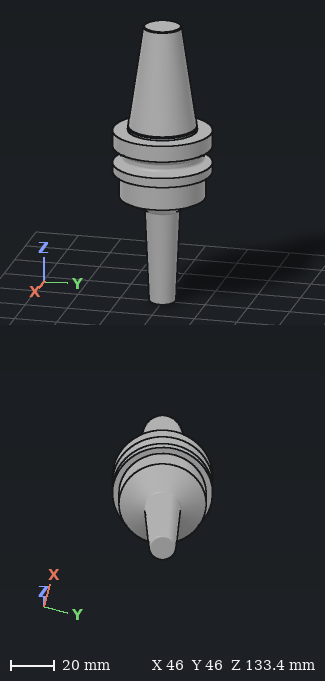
import cadquery as cq
import math


gauge_radius = 31.75 / 2
taper_length = 48.4
taper_ratio = 7 / 24
shank_end_chamfer = 0.4

neck_radius = 15.7
neck_bottom_z = -0.8
steep_flare_radius = 16.05
steep_flare_bottom_z = -1.65
middle_flare_radius = 16.7
middle_flare_bottom_z = -1.9
flare_foot_radius = 17.4

flange_radius = 46 / 2
flange_top_z = -2.0
flange_bottom_z = -22.0
groove_center_z = -13.6
groove_mouth_width = 7.9
groove_root_radius = 38 / 2
groove_flank_angle = 30
groove_fillet = 1.4

collar_radius = 40 / 2
collar_bottom_z = -34.0
cone_bottom_z = -40.0
cone_fillet = 1.0

nose_top_radius = 8.2
nose_end_radius = 6.2
nose_end_z = -85.0
nose_end_fillet = 1.0

shank_top_radius = gauge_radius - taper_length * taper_ratio / 2


def revolve_outline(points):
    """Revolve a closed (radius, height) outline about the Z axis."""
    outline = cq.Workplane("XZ").polyline(points).close()
    return outline.revolve(360, (0, 0, 0), (0, 1, 0))


def circle_edge(body, radius, z):
    """Select the circular edges with the given radius and height."""
    tolerance = 0.01
    reach = radius + tolerance
    inner = radius - tolerance
    low = z - tolerance
    high = z + tolerance
    outer_box = cq.selectors.BoxSelector((-reach, -reach, low), (reach, reach, high), boundingbox=True)
    inner_box = cq.selectors.BoxSelector((-inner, -inner, low), (inner, inner, high), boundingbox=True)
    return body.edges(outer_box - inner_box)


def make_shank():
    """Taper shank with its flared neck, standing on the flange face."""
    shank = revolve_outline([
        (0, flange_top_z),
        (flare_foot_radius, flange_top_z),
        (middle_flare_radius, middle_flare_bottom_z),
        (steep_flare_radius, steep_flare_bottom_z),
        (neck_radius, neck_bottom_z),
        (neck_radius, 0),
        (gauge_radius, 0),
        (shank_top_radius, taper_length),
        (0, taper_length),
    ])
    return shank.faces(">Z").edges().chamfer(shank_end_chamfer)


def make_flange():
    """Flange disc with the filleted V-groove."""
    half_mouth = groove_mouth_width / 2
    flank_rise = (flange_radius - groove_root_radius) * math.tan(math.radians(groove_flank_angle))
    half_root = half_mouth - flank_rise
    flange = revolve_outline([
        (0, flange_bottom_z),
        (flange_radius, flange_bottom_z),
        (flange_radius, groove_center_z - half_mouth),
        (groove_root_radius, groove_center_z - half_root),
        (groove_root_radius, groove_center_z + half_root),
        (flange_radius, groove_center_z + half_mouth),
        (flange_radius, flange_top_z),
        (0, flange_top_z),
    ])
    for side in (-1, 1):
        root_z = groove_center_z + side * half_root
        flange = circle_edge(flange, groove_root_radius, root_z).fillet(groove_fillet)
    return flange


def make_nose():
    """Collar, cone and slim tapered nose below the flange."""
    nose = revolve_outline([
        (0, nose_end_z),
        (nose_end_radius, nose_end_z),
        (nose_top_radius, cone_bottom_z),
        (collar_radius, collar_bottom_z),
        (collar_radius, flange_bottom_z),
        (0, flange_bottom_z),
    ])
    nose = circle_edge(nose, nose_top_radius, cone_bottom_z).fillet(cone_fillet)
    return nose.faces("<Z").edges().fillet(nose_end_fillet)


result = make_flange().union(make_shank()).union(make_nose())